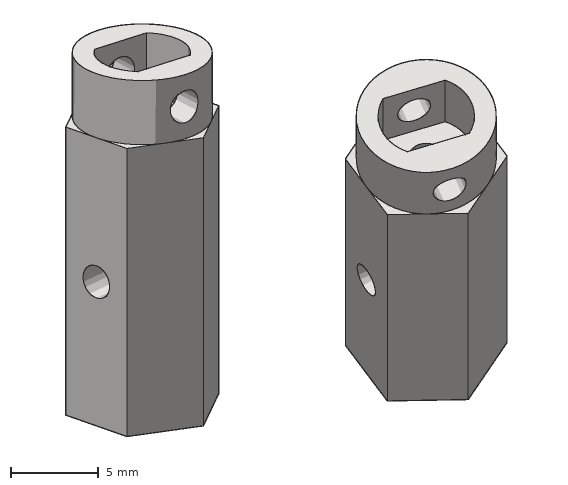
import cadquery as cq

total_height = 22.0
collar_diameter = 8.0
collar_height = 4.0
hex_height = total_height - collar_height
hex_across_flats = collar_diameter
side_face_angle = -79.0

hole_diameter = 2.0
socket_diameter = 5.5
socket_width = 4.0
socket_depth = collar_height
pin_hole_height = total_height - collar_height / 2
side_hole_height = hex_height / 2


def hex_body():
    """Hexagonal shank standing on the XY plane."""
    return (
        cq.Workplane("XY")
        .polygon(6, hex_across_flats, circumscribed=True)
        .extrude(hex_height)
        .rotate((0, 0, 0), (0, 0, 1), side_face_angle)
    )


def collar():
    """Round collar on top of the shank."""
    return (
        cq.Workplane("XY", origin=(0, 0, hex_height))
        .circle(collar_diameter / 2)
        .extrude(collar_height)
    )


def socket():
    """Round socket with two flats parallel to the YZ plane."""
    floor = cq.Workplane("XY", origin=(0, 0, total_height - socket_depth))
    round_part = floor.circle(socket_diameter / 2).extrude(socket_depth)
    flats = floor.rect(socket_width, socket_diameter).extrude(socket_depth)
    return round_part.intersect(flats)


def bore():
    """Axial hole through the whole part."""
    return cq.Workplane("XY").circle(hole_diameter / 2).extrude(total_height)


def cross_hole(height, angle):
    """Radial hole through both sides, turned by angle from +X."""
    return (
        cq.Workplane("YZ", origin=(0, 0, height))
        .circle(hole_diameter / 2)
        .extrude(hex_across_flats, both=True)
        .rotate((0, 0, 0), (0, 0, 1), angle)
    )


result = (
    hex_body()
    .union(collar())
    .cut(socket())
    .cut(bore())
    .cut(cross_hole(pin_hole_height, 0))
    .cut(cross_hole(side_hole_height, side_face_angle))
)